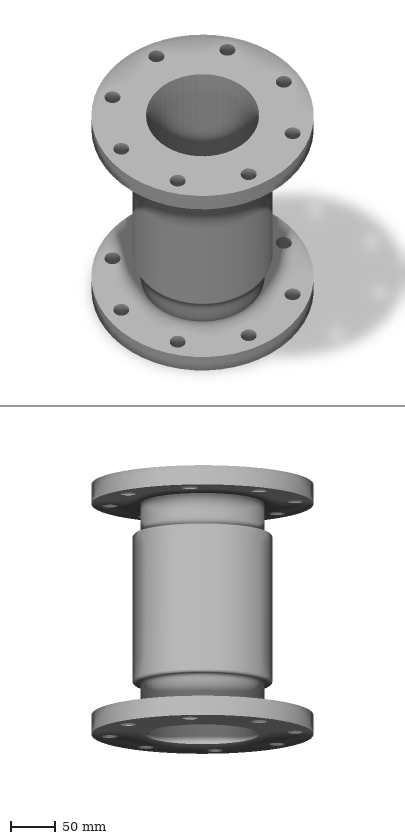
import cadquery as cq

length = 285.0
flange_diameter = 250.0
flange_thickness = 22.0

pipe_diameter = 139.6
bore_diameter = 127.0
sleeve_diameter = 157.5
sleeve_length = 170.0
sleeve_fillet = 3.0

bolt_count = 8
bolt_circle_diameter = 210.0
bolt_hole_diameter = 18.0
first_bolt_angle = 180.0 / bolt_count


def cylinder(diameter, height, base_z):
    """Solid cylinder on the Z axis, starting at base_z."""
    return cq.Workplane("XY").workplane(offset=base_z).circle(diameter / 2).extrude(height)


def flange(base_z):
    """Round flange with bolt holes straddling the X and Y axes."""
    holes = (
        cq.Workplane("XY")
        .workplane(offset=base_z)
        .polarArray(bolt_circle_diameter / 2, first_bolt_angle, 360, bolt_count)
        .circle(bolt_hole_diameter / 2)
        .extrude(flange_thickness)
    )
    return cylinder(flange_diameter, flange_thickness, base_z).cut(holes)


def sleeve():
    """Thicker middle section: rounded outer edges, and fillets where its ends meet the pipe."""
    pipe_radius = pipe_diameter / 2
    sleeve_radius = sleeve_diameter / 2
    end_z = sleeve_length / 2
    upper_half = (
        cq.Workplane("XZ")
        .lineTo(sleeve_radius, 0)
        .lineTo(sleeve_radius, end_z - sleeve_fillet)
        .radiusArc((sleeve_radius - sleeve_fillet, end_z), -sleeve_fillet)
        .lineTo(pipe_radius + sleeve_fillet, end_z)
        .radiusArc((pipe_radius, end_z + sleeve_fillet), sleeve_fillet)
        .lineTo(0, end_z + sleeve_fillet)
        .close()
        .revolve(360, (0, 0, 0), (0, 1, 0))
    )
    return upper_half.union(upper_half.mirror("XY"))


pipe = cylinder(pipe_diameter, length, -length / 2)
bottom_flange = flange(-length / 2)
top_flange = flange(length / 2 - flange_thickness)
bore = cylinder(bore_diameter, length, -length / 2)

result = pipe.union(sleeve()).union(bottom_flange).union(top_flange).cut(bore).clean()